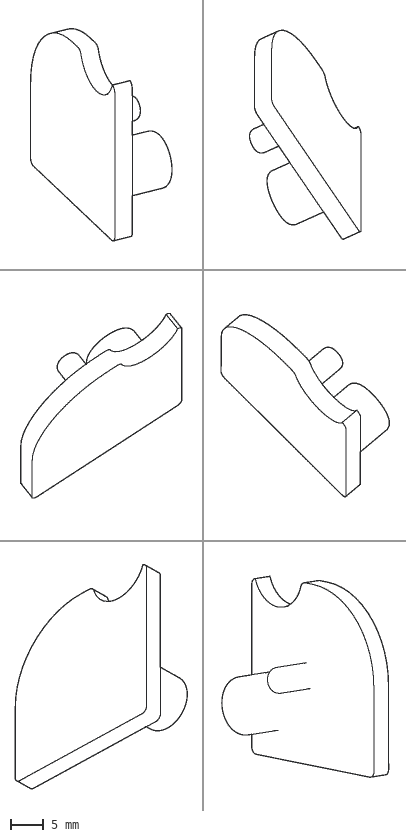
import cadquery as cq
import math

width = 28.1
height = 28.07
plate_thickness = 3.0
edge_radius = 1.0
left_side_lean = 0.03
shoulder_radius = 14.02
center_x = left_side_lean + shoulder_radius
center_z = height - shoulder_radius

total_depth = 11.0
small_pin_diameter = 4.0
large_pin_diameter = 9.0
small_pin_x = center_x + 0.03
small_pin_z = center_z
large_pin_x = small_pin_x + 8.0
large_pin_z = small_pin_z - 5.03

notch_radius = 5.5
notch_bottom_z = 23.5
notch_x = large_pin_x
notch_z = notch_bottom_z + notch_radius

tip_round_x = width - edge_radius
tip_round_z = 26.2


def on_circle(x, z, radius, angle):
    """Point on a circle in the XZ plane, angle in radians from +X."""
    return (x + radius * math.cos(angle), z + radius * math.sin(angle))


def make_plate():
    lip_z = height - edge_radius
    lip_x = notch_x - math.sqrt((notch_radius + edge_radius) ** 2 - (notch_z - lip_z) ** 2)
    lip_angle = math.atan2(notch_z - lip_z, notch_x - lip_x)
    lip_middle = on_circle(lip_x, lip_z, edge_radius, (lip_angle + math.pi / 2) / 2)
    lip_end = on_circle(lip_x, lip_z, edge_radius, lip_angle)

    span = math.hypot(notch_x - tip_round_x, notch_z - tip_round_z)
    direction = math.atan2(notch_z - tip_round_z, notch_x - tip_round_x)
    cosine = (span**2 + edge_radius**2 - notch_radius**2) / (2 * span * edge_radius)
    tip_angle = direction - math.acos(cosine)
    tip = on_circle(tip_round_x, tip_round_z, edge_radius, tip_angle)
    tip_middle = on_circle(tip_round_x, tip_round_z, edge_radius, tip_angle / 2)

    shoulder_middle = on_circle(center_x, center_z, shoulder_radius, math.radians(135))
    right_middle = on_circle(width - edge_radius, edge_radius, edge_radius, math.radians(-45))
    left_middle = on_circle(edge_radius, edge_radius, edge_radius, math.radians(225))

    outline = (
        cq.Workplane("XZ")
        .moveTo(left_side_lean, center_z)
        .threePointArc(shoulder_middle, (center_x, height))
        .lineTo(lip_x, height)
        .threePointArc(lip_middle, lip_end)
        .threePointArc((notch_x, notch_bottom_z), tip)
        .threePointArc(tip_middle, (width, tip_round_z))
        .lineTo(width, edge_radius)
        .threePointArc(right_middle, (width - edge_radius, 0))
        .lineTo(edge_radius, 0)
        .threePointArc(left_middle, (0, edge_radius))
        .close()
    )
    return outline.extrude(-plate_thickness)


def make_pin(x, z, diameter):
    """Pin with a rounded free end and a concave flare at the plate."""
    radius = diameter / 2
    diagonal = edge_radius * math.sqrt(0.5)
    flare_radius = radius + edge_radius
    flare_end = plate_thickness + edge_radius
    round_start = total_depth - edge_radius
    profile = (
        cq.Workplane("XY")
        .lineTo(0, total_depth)
        .lineTo(radius - edge_radius, total_depth)
        .threePointArc(
            (radius - edge_radius + diagonal, round_start + diagonal),
            (radius, round_start),
        )
        .lineTo(radius, flare_end)
        .threePointArc(
            (flare_radius - diagonal, flare_end - diagonal),
            (flare_radius, plate_thickness),
        )
        .lineTo(flare_radius, 0)
        .close()
    )
    return profile.revolve(360, (0, 0), (0, 1)).translate((x, 0, z))


small_pin = make_pin(small_pin_x, small_pin_z, small_pin_diameter)
large_pin = make_pin(large_pin_x, large_pin_z, large_pin_diameter)
result = make_plate().union(small_pin).union(large_pin).clean()